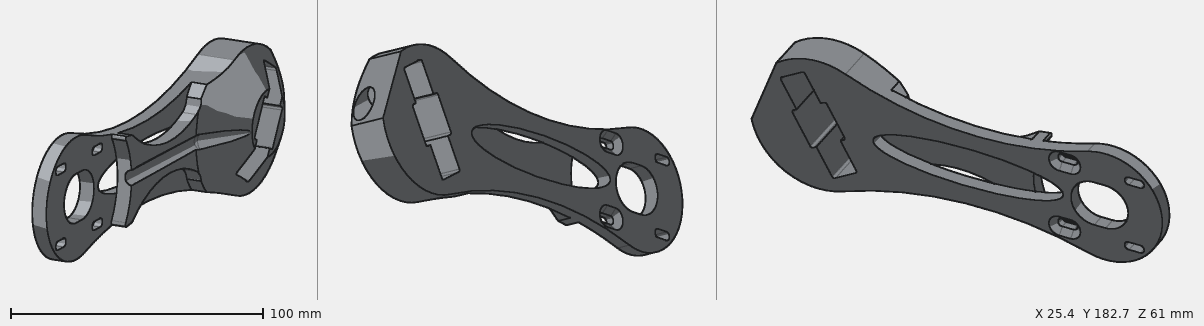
import cadquery as cq
import math

INCH = 25.4

plate_thickness = 0.25 * INCH
blade_top = 0.5 * INCH
head_rim_height = 0.65 * INCH
head_height = 1.0 * INCH

head_radius = 1.2 * INCH
tail_radius = 1.0 * INCH
tail_y = -127.5
upper_waist_radius = 6.0 * INCH
lower_waist_radius = 6.75 * INCH
head_cut_angle = 20.0
head_cut_distance = 25.92

head_flat_radius = 0.55 * INCH
cone_slope = (head_radius - head_flat_radius) / (head_height - head_rim_height)
cone_foot_radius = head_flat_radius + cone_slope * (head_height - blade_top)
stock_radius = 200.0

blade_waist_y = -59.5
blade_waist_half_width = 6.6
blade_shoulder_y = -37.0
blade_kink_y = -33.4
blade_kink_z = 17.0
blade_root_y = -29.2
prong_start_y = -91.8
prong_corner_y = -95.7
upper_prong_tip_z = 16.5
lower_prong_tip_z = 17.2
prong_tip_bulge = 1.1
motor_clearance_radius = 32.6

servo_angle = 60.0
servo_length = 47.4
servo_end_width = 12.4
servo_middle_length = 17.6
servo_middle_width = 17.6
servo_corner_radius = 1.0

cable_hole_diameter = 0.4 * INCH
cable_hole_x = 0.5 * INCH
cable_hole_y = 26.5
cable_hole_depth = 10.0

channel_diameter = 0.25 * INCH
channel_start_y = -100.0
channel_start_x = 12.8
channel_bend_y = -36.0
channel_bend_x = 14.1
channel_scoop_angle = 34.7
channel_scoop_length = 50.0

window_length = 84.5
window_height = 18.0
window_y = -66.5

motor_y = tail_y + 0.1 * INCH
motor_travel = 0.2 * INCH
shaft_hole_diameter = 20.3
screw_spacing = 31.0
screw_diameter = 3.6
screw_head_diameter = 9.0
countersink_angle = 45.0
countersink_depth = (screw_head_diameter - screw_diameter) / 2 / math.tan(math.radians(countersink_angle))


def polar(radius, degrees):
    angle = math.radians(degrees)
    return (radius * math.cos(angle), radius * math.sin(angle))


def waist_centre(waist_radius):
    """Centre of a waist arc on the +Z side that touches the head and tail discs."""
    to_head = waist_radius + head_radius
    to_tail = waist_radius + tail_radius
    y = (to_head**2 - to_tail**2 + tail_y**2) / (2 * tail_y)
    return (y, math.sqrt(to_head**2 - y**2))


def arm_half_width(y, waist_radius):
    """Distance from the arm's middle line to the waist arc."""
    centre_y, centre_z = waist_centre(waist_radius)
    return centre_z - math.sqrt(waist_radius**2 - (y - centre_y) ** 2)


def waist_points(waist_radius):
    """Start on the head disc, narrowest point and end on the tail disc of a waist arc."""
    centre_y, centre_z = waist_centre(waist_radius)
    head_share = head_radius / (head_radius + waist_radius)
    tail_share = tail_radius / (tail_radius + waist_radius)
    start = (centre_y * head_share, centre_z * head_share)
    middle = (centre_y, centre_z - waist_radius)
    end = (tail_y + (centre_y - tail_y) * tail_share, centre_z * tail_share)
    return start, middle, end


def arm_outline(height):
    upper_start, upper_middle, upper_end = waist_points(upper_waist_radius)
    lower_start, lower_middle, lower_end = [(y, -z) for y, z in waist_points(lower_waist_radius)]
    body = (
        cq.Workplane("YZ")
        .moveTo(*upper_start)
        .threePointArc(upper_middle, upper_end)
        .threePointArc((tail_y - tail_radius, 0), lower_end)
        .threePointArc(lower_middle, lower_start)
        .threePointArc((head_radius, 0), upper_start)
        .close()
        .extrude(height)
    )
    beyond_flat = (
        cq.Workplane("YZ")
        .transformed(rotate=(0, 0, head_cut_angle))
        .center(head_cut_distance + head_radius, 0)
        .rect(2 * head_radius, 4 * head_radius)
        .extrude(height)
    )
    return body.cut(beyond_flat)


def motor_clearance_y(z):
    """Y of the hollow blade end, which is concentric with the motor."""
    return motor_y + math.sqrt(motor_clearance_radius**2 - z**2)


def half_blade(waist_radius, prong_tip_z, height):
    """The +Z half of the head, its swept root and the pronged blade; it may overhang the arm."""
    prong_start_z = arm_half_width(prong_start_y, waist_radius)
    reach = prong_start_y - blade_waist_y
    flare = prong_start_z - blade_waist_half_width
    flank_radius = (reach**2 + flare**2) / (2 * flare)
    flank_z = blade_waist_half_width + flank_radius
    shoulder_z = flank_z - math.sqrt(flank_radius**2 - (blade_shoulder_y - blade_waist_y) ** 2)

    outside = 2 * head_radius
    root = (blade_root_y, arm_half_width(blade_root_y, waist_radius))
    corner = (prong_corner_y, arm_half_width(prong_corner_y, waist_radius))
    tip = (motor_clearance_y(prong_tip_z), prong_tip_z)
    return (
        cq.Workplane("YZ")
        .moveTo(prong_start_y, prong_start_z)
        .threePointArc((blade_waist_y, blade_waist_half_width), (blade_shoulder_y, shoulder_z))
        .tangentArcPoint((blade_kink_y, blade_kink_z), relative=False)
        .radiusArc(root, cone_foot_radius)
        .lineTo(blade_root_y, outside)
        .lineTo(outside, outside)
        .lineTo(outside, 0)
        .lineTo(motor_clearance_y(0), 0)
        .threePointArc((motor_clearance_y(prong_tip_z / 2), prong_tip_z / 2), tip)
        .sagittaArc(corner, prong_tip_bulge)
        .lineTo(prong_corner_y, head_radius)
        .lineTo(prong_start_y, head_radius)
        .close()
        .extrude(height)
    )


def blade_outline(height):
    upper = half_blade(upper_waist_radius, upper_prong_tip_z, height)
    lower = half_blade(lower_waist_radius, lower_prong_tip_z, height)
    return upper.union(lower.mirror("XY"))


def head_envelope():
    """Space below the cone and, outside it, below the top of the blade."""
    return (
        cq.Workplane("XY")
        .polyline(
            [
                (0, 0),
                (head_height, 0),
                (head_height, head_flat_radius),
                (blade_top, cone_foot_radius),
                (blade_top, stock_radius),
                (0, stock_radius),
            ]
        )
        .close()
        .revolve(360, (0, 0, 0), (1, 0, 0))
    )


def servo_opening():
    plane = cq.Workplane("YZ").transformed(rotate=(0, 0, servo_angle))
    ends = plane.rect(servo_length, servo_end_width).extrude(head_height)
    middle = plane.rect(servo_middle_length, servo_middle_width).extrude(head_height)
    ends = ends.edges("|X").fillet(servo_corner_radius)
    middle = middle.edges("|X").fillet(servo_corner_radius)
    return ends.union(middle)


def round_hole(start, end, diameter):
    axis = end - start
    return cq.Workplane(cq.Solid.makeCylinder(diameter / 2, axis.Length, start, axis))


def cable_hole():
    normal_y, normal_z = polar(1, head_cut_angle)
    mouth_z = (head_cut_distance - cable_hole_y * normal_y) / normal_z
    mouth = cq.Vector(cable_hole_x, cable_hole_y, mouth_z)
    outward = cq.Vector(0, *polar(1, servo_angle - 90))
    return round_hole(mouth - outward * cable_hole_depth, mouth + outward * head_radius, cable_hole_diameter)


def wire_channel():
    start = cq.Vector(channel_start_x, channel_start_y, 0)
    bend = cq.Vector(channel_bend_x, channel_bend_y, 0)
    run_y, rise_x = polar(channel_scoop_length, channel_scoop_angle)
    groove = round_hole(start, bend, channel_diameter)
    scoop = round_hole(bend, bend + cq.Vector(rise_x, run_y, 0), channel_diameter)
    ball = cq.Workplane("XY").sphere(channel_diameter / 2).translate(bend)
    return groove.union(scoop).union(ball)


def slot(y, z, diameter):
    return cq.Workplane("YZ").center(y, z).slot2D(motor_travel + diameter, diameter).extrude(plate_thickness)


def countersink(y, z):
    return (
        cq.Workplane("YZ")
        .center(y, z)
        .slot2D(motor_travel + screw_head_diameter, screw_head_diameter)
        .extrude(countersink_depth, taper=countersink_angle)
    )


def window():
    plane = cq.Workplane("YZ").center(window_y, 0)
    return plane.ellipse(window_length / 2, window_height / 2).extrude(plate_thickness)


def plate():
    return arm_outline(plate_thickness).cut(window())


def raised_part():
    """Conical head and blade, standing on the plate."""
    below = cq.Workplane("YZ").rect(2 * stock_radius, 2 * stock_radius).extrude(plate_thickness)
    shape = arm_outline(head_height).intersect(blade_outline(head_height)).intersect(head_envelope())
    return shape.cut(below)


def motor_mount():
    """Elongated shaft hole and four screw slots; the two nearest the head are countersunk."""
    offset = screw_spacing / 2
    cuts = slot(motor_y, 0, shaft_hole_diameter)
    for z in (-offset, offset):
        for y in (motor_y - offset, motor_y + offset):
            cuts = cuts.union(slot(y, z, screw_diameter))
        cuts = cuts.union(countersink(motor_y + offset, z))
    return cuts


result = plate().union(raised_part())
for opening in (servo_opening(), cable_hole(), wire_channel(), motor_mount()):
    result = result.cut(opening)